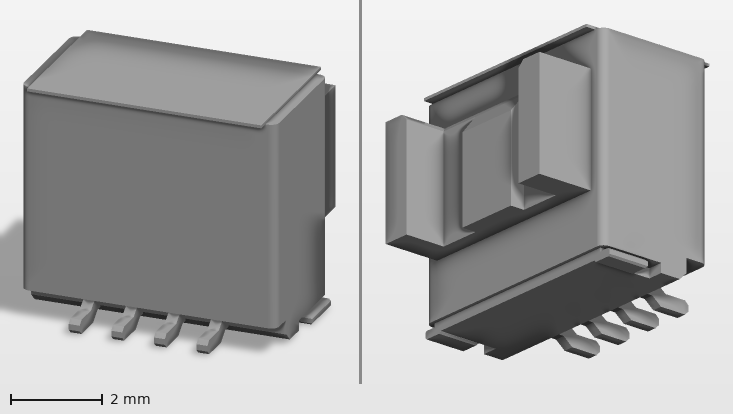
import cadquery as cq


HOUSING_WIDTH = 6.0
HOUSING_DEPTH = 3.0
HOUSING_BOTTOM = 0.29
HOUSING_TOP = 5.43
HOUSING_CORNER_RADIUS = 0.19
FRONT_Y = -HOUSING_DEPTH / 2
BACK_Y = HOUSING_DEPTH / 2

BASE_BOTTOM = 0.05
BASE_FRONT_Y = -0.89
BASE_CHAMFER = 0.19
BASE_WIDE_BACK_Y = -0.17
BASE_NARROW_WIDTH = 5.2

RELIEF_TOP = 0.6

GUIDE_WIDTH = 5.2
GUIDE_OPENING = 3.79
GUIDE_BOTTOM = 1.68
GUIDE_TOP = 4.56
GUIDE_BACK_Y = 2.965
CROSS_WALL_BACK_Y = 1.905
GUIDE_CHAMFER = 0.16

LATCH_WIDTH = 1.64
LATCH_BACK_Y = 2.28
LATCH_RAMP_DROP = 0.47
LATCH_RAMP_TOP = GUIDE_TOP - GUIDE_CHAMFER

PIN_COUNT = 4
PIN_PITCH = 1.0
PIN_WIDTH = 0.26
PIN_TIP_Y = -2.105
PIN_TIP_CHAMFER = 0.1
PIN_FOOT_HEIGHT = 0.335
PIN_ROOT_BOTTOM = 0.2
PIN_UPPER_BENDS_Y = (-1.1, -1.45)
PIN_LOWER_BENDS_Y = (-1.07, -1.315)

TAB_OUTER_X = 3.12
TAB_INNER_X = 2.61
TAB_FRONT_Y = 0.31
TAB_BACK_Y = 1.4
TAB_THICKNESS = 0.2
TAB_CHAMFER = 0.045

PLATE_WIDTH = 5.5
PLATE_DEPTH = 3.5
PLATE_TOP = 5.5


def block(x_range, y_range, z_range):
    """Box given by its lower and upper limit on each axis."""
    size = [high - low for low, high in (x_range, y_range, z_range)]
    corner = (x_range[0], y_range[0], z_range[0])
    return cq.Workplane("XY").box(*size, centered=False).translate(corner)


def side_profile(yz_points, width, center_x=0):
    """Y-Z outline extruded along X, centered on center_x."""
    outline = cq.Workplane("YZ").polyline(yz_points).close()
    return outline.extrude(width / 2, both=True).translate((center_x, 0, 0))


def make_shell():
    half_width = HOUSING_WIDTH / 2
    shell = block((-half_width, half_width), (FRONT_Y, BACK_Y), (HOUSING_BOTTOM, HOUSING_TOP))
    shell = shell.edges("|Z").fillet(HOUSING_CORNER_RADIUS)
    relief = block((-half_width, half_width), (FRONT_Y, BASE_FRONT_Y), (HOUSING_BOTTOM, RELIEF_TOP))
    return shell.cut(relief)


def make_base():
    wide_outline = [
        (BASE_WIDE_BACK_Y, HOUSING_BOTTOM),
        (BASE_WIDE_BACK_Y, BASE_BOTTOM),
        (BASE_FRONT_Y + BASE_CHAMFER, BASE_BOTTOM),
        (BASE_FRONT_Y, BASE_BOTTOM + BASE_CHAMFER),
        (BASE_FRONT_Y, HOUSING_BOTTOM),
    ]
    wide = side_profile(wide_outline, HOUSING_WIDTH)
    half_narrow = BASE_NARROW_WIDTH / 2
    narrow = block(
        (-half_narrow, half_narrow),
        (BASE_WIDE_BACK_Y, TAB_BACK_Y),
        (BASE_BOTTOM, HOUSING_BOTTOM),
    )
    return wide.union(narrow)


def make_guide():
    half_width = GUIDE_WIDTH / 2
    half_opening = GUIDE_OPENING / 2
    guide = block((-half_width, half_width), (BACK_Y, GUIDE_BACK_Y), (GUIDE_BOTTOM, GUIDE_TOP))
    opening = block(
        (-half_opening, half_opening),
        (CROSS_WALL_BACK_Y, GUIDE_BACK_Y),
        (GUIDE_BOTTOM, GUIDE_TOP),
    )
    guide = guide.cut(opening)
    upper_rim = cq.selectors.BoxSelector(
        (-half_opening - GUIDE_CHAMFER, CROSS_WALL_BACK_Y - GUIDE_CHAMFER, GUIDE_TOP - GUIDE_CHAMFER),
        (half_opening + GUIDE_CHAMFER, GUIDE_BACK_Y - GUIDE_CHAMFER, GUIDE_TOP + GUIDE_CHAMFER),
    )
    return guide.edges(upper_rim).chamfer(GUIDE_CHAMFER)


def make_latch():
    outline = [
        (CROSS_WALL_BACK_Y, GUIDE_BOTTOM),
        (LATCH_BACK_Y, GUIDE_BOTTOM),
        (LATCH_BACK_Y, LATCH_RAMP_TOP - LATCH_RAMP_DROP),
        (CROSS_WALL_BACK_Y, LATCH_RAMP_TOP),
    ]
    return side_profile(outline, LATCH_WIDTH)


def make_pin(center_x):
    upper_root_y, upper_foot_y = PIN_UPPER_BENDS_Y
    lower_root_y, lower_foot_y = PIN_LOWER_BENDS_Y
    outline = [
        (BASE_FRONT_Y, RELIEF_TOP),
        (upper_root_y, RELIEF_TOP),
        (upper_foot_y, PIN_FOOT_HEIGHT),
        (PIN_TIP_Y + PIN_TIP_CHAMFER, PIN_FOOT_HEIGHT),
        (PIN_TIP_Y, PIN_FOOT_HEIGHT - PIN_TIP_CHAMFER),
        (PIN_TIP_Y, PIN_TIP_CHAMFER),
        (PIN_TIP_Y + PIN_TIP_CHAMFER, 0),
        (lower_foot_y, 0),
        (lower_root_y, PIN_ROOT_BOTTOM),
        (BASE_FRONT_Y, PIN_ROOT_BOTTOM),
    ]
    return side_profile(outline, PIN_WIDTH, center_x)


def make_tab():
    """Solder tab on the -X side."""
    foot = block((-TAB_OUTER_X, -TAB_INNER_X), (TAB_FRONT_Y, TAB_BACK_Y), (0, TAB_THICKNESS))
    foot = foot.faces("<Z").edges("<X or >X or <Y").chamfer(TAB_CHAMFER)
    foot = foot.faces(">Z").edges("<X or <Y").chamfer(TAB_CHAMFER)
    leg = block(
        (-TAB_INNER_X - TAB_THICKNESS, -BASE_NARROW_WIDTH / 2),
        (TAB_FRONT_Y, TAB_BACK_Y),
        (TAB_THICKNESS / 2, HOUSING_BOTTOM),
    )
    leg = leg.edges("|Z and <X and <Y").chamfer(TAB_CHAMFER)
    return foot.union(leg)


def make_connector():
    connector = make_shell().union(make_base()).union(make_guide()).union(make_latch())
    for index in range(PIN_COUNT):
        center_x = (index - (PIN_COUNT - 1) / 2) * PIN_PITCH
        connector = connector.union(make_pin(center_x))
    tab = make_tab()
    return connector.union(tab).union(tab.mirror("YZ"))


def make_plate():
    half_width = PLATE_WIDTH / 2
    half_depth = PLATE_DEPTH / 2
    return block((-half_width, half_width), (-half_depth, half_depth), (HOUSING_TOP, PLATE_TOP))


connector = make_connector()
plate = make_plate()

result = cq.Compound.makeCompound([*connector.solids().vals(), plate.val()])